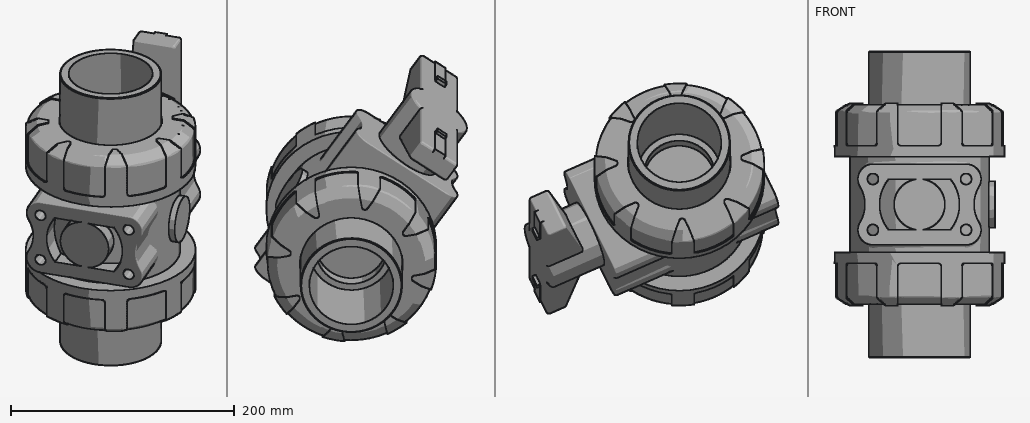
import cadquery as cq
import math

LENGTH = 274.0
DEPTH = 219.0
PIPE_DIAMETER = 91.0
PIPE_EDGE_CHAMFER = 0.8
SOCKET_DIAMETER = 75.0
SOCKET_FLOOR_Z = 54.8
SEAT_DIAMETER = 63.0
SEAT_FLOOR_Z = 41.0
BODY_DIAMETER = 125.0

NUT_BASE_Z = 42.7
NUT_FLANGE_TOP_Z = 52.5
NUT_FLANGE_DIAMETER = 152.0
NUT_TOP_Z = 90.5
NUT_SHOULDER_Z = 83.5
NUT_DIAMETER = NUT_FLANGE_DIAMETER
NUT_TOP_DIAMETER = 131.2
NUT_EDGE_ROUND = 2.7
NUT_MOUTH_DIAMETER = 92.0
NUT_MOUTH_DEPTH = 8.2
GRIP_COUNT = 8
GRIP_WIDTH = 39.0
GRIP_DEPTH = 1.0
GRIP_CORNER_RADIUS = 2.7

FRONT_FACE_Y = -72.5
BACK_FACE_Y = 88.2
BOLT_X = 41.6
BOLT_Z = 22.7
BOLT_HOLE_DIAMETER = 10.0
BLOCK_CORNER_RADIUS = 13.5
BLOCK_WAIST_X = 48.8
BLOCK_EDGE_ROUND = 1.0
BLOCK_BASE_ROUND = 2.7
POCKET_DIAMETER = 71.5
POCKET_HEIGHT = 45.0
POCKET_BOSS_DIAMETER = 45.5

HUB_DIAMETER = 61.5
HANDLE_FACE_Y = 139.5
HANDLE_HALF_SPAN = 105.0
HANDLE_WIDTH = 40.3
HANDLE_TIP_Y = 120.3
HANDLE_MIDDLE_Y = 98.6
HANDLE_ROUND = 2.7
RIDGE_WIDTH = 11.5
RIDGE_HEIGHT = 0.8
LUG_Z = 63.0
LUG_WIDTH = 10.0
LUG_THICKNESS = 6.5
LUG_TOP_Y = DEPTH - NUT_FLANGE_DIAMETER / 2

BADGE_DIAMETER = 42.0
BADGE_BACK_X = 62.0
BADGE_FACE_X = 67.7

MARGIN = 1.5


def cylinder_z(diameter, z_start, z_end):
    return cq.Workplane("XY").workplane(offset=z_start).circle(diameter / 2).extrude(z_end - z_start)


def cylinder_y(diameter, y_start, y_end):
    plane = cq.Workplane("XZ", origin=(0, y_start, 0))
    return plane.circle(diameter / 2).extrude(y_start - y_end)


def nut_blank(recess):
    """Revolved nut shape above its flange, set in by the recess on the side and top."""
    radius = NUT_DIAMETER / 2 - recess
    top_z = NUT_TOP_Z - recess
    profile = (
        cq.Workplane("XZ")
        .moveTo(0, NUT_BASE_Z)
        .lineTo(radius, NUT_BASE_Z)
        .lineTo(radius, NUT_SHOULDER_Z - recess / 2)
        .lineTo(NUT_TOP_DIAMETER / 2, top_z)
        .lineTo(0, top_z)
        .close()
    )
    blank = profile.revolve(360, (0, 0, 0), (0, 1, 0))
    shoulder_and_rim = cq.selectors.BoxSelector(
        (-radius - MARGIN, -radius - MARGIN, NUT_BASE_Z + MARGIN),
        (radius + MARGIN, radius + MARGIN, NUT_TOP_Z + MARGIN),
        boundingbox=True,
    )
    return blank.edges(shoulder_and_rim).edges("%CIRCLE").fillet(NUT_EDGE_ROUND)


def make_nut():
    """Upper union nut: grip ribs stand between shallow flats that meet near the pipe."""
    grip_height = NUT_TOP_Z + MARGIN - NUT_FLANGE_TOP_Z
    grips = None
    for index in range(GRIP_COUNT):
        bar = (
            cq.Workplane("XY")
            .box(NUT_FLANGE_DIAMETER, GRIP_WIDTH, grip_height, centered=(False, True, False))
            .edges("|X and <Z")
            .fillet(GRIP_CORNER_RADIUS)
            .translate((0, 0, NUT_FLANGE_TOP_Z))
            .rotate((0, 0, 0), (0, 0, 1), index * 360 / GRIP_COUNT)
        )
        grips = bar if grips is None else grips.union(bar)
    grips = grips.union(cylinder_z(NUT_MOUTH_DIAMETER, NUT_FLANGE_TOP_Z, NUT_TOP_Z + MARGIN))
    tip_radius = GRIP_WIDTH / 2 / math.sin(math.pi / GRIP_COUNT)
    tips = cq.selectors.BoxSelector(
        (-tip_radius, -tip_radius, NUT_BASE_Z),
        (tip_radius, tip_radius, LENGTH),
    )
    grips = grips.edges("|Z").edges(tips).fillet(GRIP_CORNER_RADIUS)

    nut = nut_blank(0).cut(grips.cut(nut_blank(GRIP_DEPTH)))
    nut = nut.union(cylinder_z(NUT_FLANGE_DIAMETER, NUT_BASE_Z, NUT_FLANGE_TOP_Z))
    return nut.cut(cylinder_z(NUT_MOUTH_DIAMETER, NUT_TOP_Z - NUT_MOUTH_DEPTH, NUT_TOP_Z))


def block_outline():
    """Rounded corners about the bolt centres, joined by hollow arcs on the two sides."""
    run = BLOCK_WAIST_X - BOLT_X
    hollow_radius = (run**2 + BOLT_Z**2 - BLOCK_CORNER_RADIUS**2) / (2 * (BLOCK_CORNER_RADIUS - run))
    hollow_angle = math.asin(BOLT_Z / (hollow_radius + BLOCK_CORNER_RADIUS))
    join_x = BOLT_X + BLOCK_CORNER_RADIUS * math.cos(hollow_angle)
    join_z = BOLT_Z - BLOCK_CORNER_RADIUS * math.sin(hollow_angle)
    middle_angle = (math.pi / 2 - hollow_angle) / 2
    middle_x = BOLT_X + BLOCK_CORNER_RADIUS * math.cos(middle_angle)
    middle_z = BOLT_Z + BLOCK_CORNER_RADIUS * math.sin(middle_angle)
    top_z = BOLT_Z + BLOCK_CORNER_RADIUS
    return (
        cq.Workplane("XZ")
        .moveTo(-BOLT_X, top_z)
        .lineTo(BOLT_X, top_z)
        .threePointArc((middle_x, middle_z), (join_x, join_z))
        .threePointArc((BLOCK_WAIST_X, 0), (join_x, -join_z))
        .threePointArc((middle_x, -middle_z), (BOLT_X, -top_z))
        .lineTo(-BOLT_X, -top_z)
        .threePointArc((-middle_x, -middle_z), (-join_x, -join_z))
        .threePointArc((-BLOCK_WAIST_X, 0), (-join_x, join_z))
        .threePointArc((-middle_x, middle_z), (-BOLT_X, top_z))
        .close()
    )


def make_body():
    """Central barrel with both mounting blocks blended into it."""
    front = block_outline().extrude(-FRONT_FACE_Y).faces("<Y").edges().fillet(BLOCK_EDGE_ROUND)
    back = block_outline().extrude(-BACK_FACE_Y).faces(">Y").edges().fillet(BLOCK_EDGE_ROUND)
    barrel = cylinder_z(BODY_DIAMETER, -NUT_FLANGE_TOP_Z, NUT_FLANGE_TOP_Z)
    body = barrel.union(front).union(back)
    side = BODY_DIAMETER / 2 + MARGIN
    top_z = BOLT_Z + BLOCK_CORNER_RADIUS + MARGIN
    seams = cq.selectors.BoxSelector(
        (-side, -side, -top_z),
        (side, side, top_z),
        boundingbox=True,
    )
    return body.edges(seams).fillet(BLOCK_BASE_ROUND)


def front_block_cuts():
    """Bolt holes and the pocket round the central boss, all reaching the barrel surface."""
    plane = cq.Workplane("XZ")
    holes = (
        plane.rect(2 * BOLT_X, 2 * BOLT_Z, forConstruction=True)
        .vertices()
        .circle(BOLT_HOLE_DIAMETER / 2)
        .extrude(-FRONT_FACE_Y)
    )
    pocket = plane.circle(POCKET_DIAMETER / 2).extrude(-FRONT_FACE_Y)
    pocket = pocket.intersect(plane.rect(POCKET_DIAMETER, POCKET_HEIGHT).extrude(-FRONT_FACE_Y))
    pocket = pocket.cut(cylinder_y(POCKET_BOSS_DIAMETER, FRONT_FACE_Y, 0))
    barrel = cylinder_z(BODY_DIAMETER, -NUT_BASE_Z, NUT_BASE_Z)
    return holes.union(pocket).cut(barrel)


def make_handle():
    """Round hub with two tapered wings, each with an outer ridge and a small lug."""
    hub = cylinder_y(HUB_DIAMETER, 0, HANDLE_FACE_Y).faces(">Y").edges().fillet(HANDLE_ROUND)
    wings = (
        cq.Workplane("YZ", origin=(-HANDLE_WIDTH / 2, 0, 0))
        .polyline([
            (HANDLE_FACE_Y, -HANDLE_HALF_SPAN),
            (HANDLE_FACE_Y, HANDLE_HALF_SPAN),
            (HANDLE_TIP_Y, HANDLE_HALF_SPAN),
            (HANDLE_MIDDLE_Y, 0),
            (HANDLE_TIP_Y, -HANDLE_HALF_SPAN),
        ])
        .close()
        .extrude(HANDLE_WIDTH)
        .edges()
        .fillet(HANDLE_ROUND)
    )
    handle = hub.union(wings)
    ridge_base_y = HANDLE_FACE_Y - HANDLE_ROUND
    ridge_length = HANDLE_HALF_SPAN - LUG_Z
    for side in (1, -1):
        ridge = cq.Workplane("XY").box(
            RIDGE_WIDTH, HANDLE_ROUND + RIDGE_HEIGHT, ridge_length, centered=(True, False, True)
        )
        lug = cq.Workplane("XY").box(
            LUG_WIDTH, LUG_TOP_Y - ridge_base_y, LUG_THICKNESS, centered=(True, False, True)
        )
        handle = handle.union(ridge.translate((0, ridge_base_y, side * (LUG_Z + ridge_length / 2))))
        handle = handle.union(lug.translate((0, ridge_base_y, side * LUG_Z)))
    return handle


def bore():
    """Stepped blind socket in the upper pipe end."""
    socket = cylinder_z(SOCKET_DIAMETER, SOCKET_FLOOR_Z, LENGTH / 2)
    return socket.union(cylinder_z(SEAT_DIAMETER, SEAT_FLOOR_Z, SOCKET_FLOOR_Z))


pipe = cylinder_z(PIPE_DIAMETER, -LENGTH / 2, LENGTH / 2).edges().chamfer(PIPE_EDGE_CHAMFER)
upper_nut = make_nut()
badge_plane = cq.Workplane("YZ", origin=(BADGE_BACK_X, 0, 0))
badge = badge_plane.circle(BADGE_DIAMETER / 2).extrude(BADGE_FACE_X - BADGE_BACK_X)

result = make_body().cut(front_block_cuts())
result = result.union(upper_nut).union(upper_nut.mirror("XY"))
result = result.union(pipe).union(make_handle()).union(badge)
result = result.cut(bore()).cut(bore().mirror("XY"))